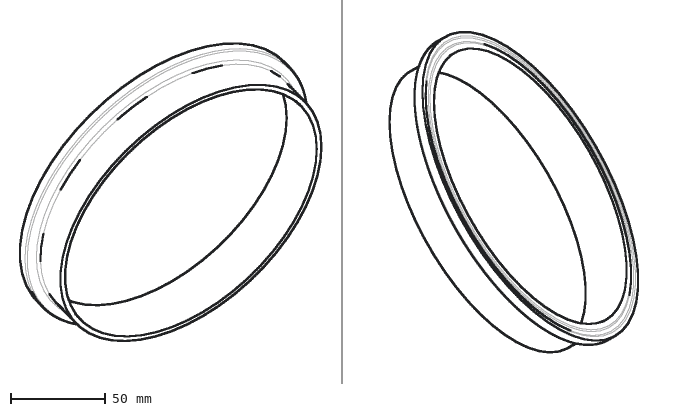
import cadquery as cq
import math

total_length = 28.0
flange_radius = 91.5
bore_radius = 81.6
tube_radius = 84.7

rim_length = 5.7
back_angle = math.radians(20)
corner_round = 1.1
neck_round = 2.0

groove_radius = 87.1
groove_bottom_round = 1.5
groove_lip_round = 1.19
groove_blend_angle = math.radians(50)


def revolve_about_x(outline):
    return outline.close().revolve(360, (0, 0, 0), (1, 0, 0))


def circles_at(x):
    """Select the circular edges lying in the plane at x."""
    margin = 0.2
    reach = 2 * flange_radius
    return cq.selectors.BoxSelector((x - margin, -reach, -reach), (x + margin, reach, reach))


def ferrule_body():
    back_foot = rim_length + (flange_radius - tube_radius) * math.tan(back_angle)
    outline = (
        cq.Workplane("XY")
        .moveTo(0, bore_radius)
        .lineTo(0, flange_radius)
        .lineTo(rim_length, flange_radius)
        .lineTo(back_foot, tube_radius)
        .lineTo(total_length, tube_radius)
        .lineTo(total_length, bore_radius)
    )
    body = revolve_about_x(outline)
    body = body.edges(circles_at(rim_length)).fillet(corner_round)
    return body.edges(circles_at(back_foot)).fillet(neck_round)


def gasket_groove():
    depth = (groove_lip_round + groove_bottom_round) * (1 - math.cos(groove_blend_angle))
    blend_depth = groove_lip_round * (1 - math.cos(groove_blend_angle))
    bottom_half_width = groove_bottom_round * math.sin(groove_blend_angle)
    mouth_half_width = bottom_half_width + groove_lip_round * math.sin(groove_blend_angle)
    lip_mid_depth = groove_lip_round * (1 - math.cos(groove_blend_angle / 2))
    lip_mid_offset = mouth_half_width - groove_lip_round * math.sin(groove_blend_angle / 2)
    outline = (
        cq.Workplane("XY")
        .moveTo(0, groove_radius + mouth_half_width)
        .threePointArc(
            (lip_mid_depth, groove_radius + lip_mid_offset),
            (blend_depth, groove_radius + bottom_half_width),
        )
        .threePointArc((depth, groove_radius), (blend_depth, groove_radius - bottom_half_width))
        .threePointArc(
            (lip_mid_depth, groove_radius - lip_mid_offset),
            (0, groove_radius - mouth_half_width),
        )
    )
    return revolve_about_x(outline)


result = ferrule_body().cut(gasket_groove())